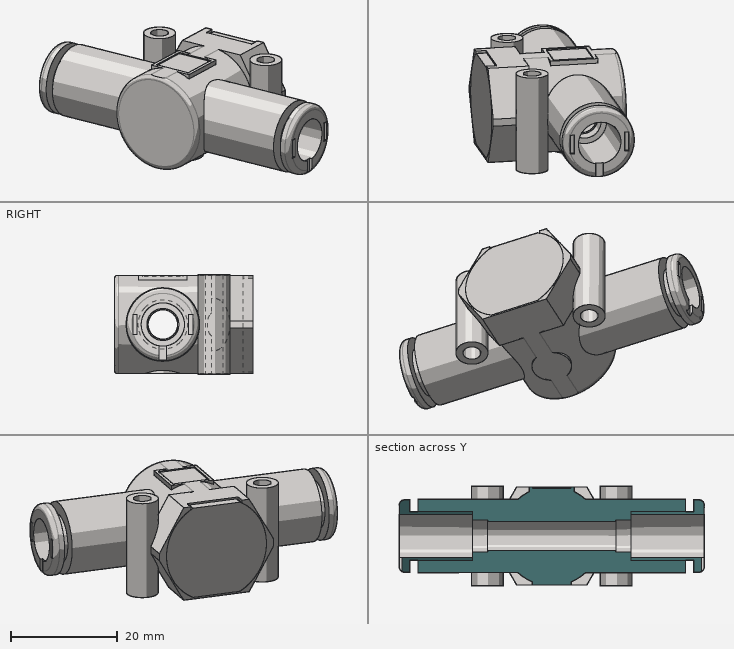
import cadquery as cq
import math


overall_length = 57.2
sleeve_diameter = 13.8
sleeve_end_x = 25.1
tube_stop_x = 14.9
stop_bore_diameter = 6.0
stop_bore_depth = 2.85
through_bore_diameter = 5.5

barrel_diameter = 18.7
barrel_front_y = -9.1
barrel_fillet = 0.8
flat_z = 9.2

block_front_y = 9.15
block_back_y = 16.95
block_top_half_width = 6.6
block_half_width = 11.5
flank_angle = 60.0

window_width = 10.25
window_length = 1.95

insert_flat_z = 8.85
insert_flat_width = 9.5

lug_x = 12.05
lug_y = 9.6
lug_diameter = 6.0
lug_hole_diameter = 3.3
lug_height = 18.7

tag_width = 8.5
tag_length = 9.05
tag_recess_width = 7.2
tag_recess_length = 7.55
tag_recess_depth = 0.25
pad_diameter = 7.45

collar_diameter = 13.6
collar_flange_length = 2.0
collar_fillet = 1.0
neck_diameter = 9.25
collar_bore_diameter = 8.1
notch_width = 1.45
notch_depth = 0.5
pocket_length = 3.65
pocket_inner_radius = 4.8
pocket_outer_radius = 5.6
pocket_depth = 0.5


def cylinder_x(diameter, x_start, x_end):
    return cq.Workplane("YZ", origin=(x_start, 0, 0)).circle(diameter / 2).extrude(x_end - x_start)


def cylinder_y(diameter, y_start, y_end):
    return cq.Workplane("XZ", origin=(0, y_start, 0)).circle(diameter / 2).extrude(y_start - y_end)


def box_between(x_range, y_range, z_range):
    sides = [end - start for start, end in (x_range, y_range, z_range)]
    return cq.Workplane().box(*sides, centered=False).translate((x_range[0], y_range[0], z_range[0]))


def flatten(round_body, half_height):
    """Keep only the part of a body between -half_height and +half_height."""
    size = 2 * overall_length
    return round_body.intersect(cq.Workplane().box(size, size, 2 * half_height))


def make_barrel():
    barrel = cylinder_y(barrel_diameter, barrel_front_y, block_front_y)
    barrel = barrel.faces("<Y").edges().fillet(barrel_fillet)
    return flatten(barrel, flat_z)


def make_rear_block():
    corner_drop = (block_half_width - block_top_half_width) * math.tan(math.radians(flank_angle))
    corner_z = flat_z - corner_drop
    right_side = [
        (block_top_half_width, -flat_z),
        (block_half_width, -corner_z),
        (block_half_width, corner_z),
        (block_top_half_width, flat_z),
    ]
    left_side = [(-x, z) for x, z in reversed(right_side)]
    outline = cq.Workplane("XZ", origin=(0, block_front_y, 0)).polyline(right_side + left_side).close()
    return outline.extrude(block_front_y - block_back_y)


def lug_cylinders(diameter):
    """A pair of upright full-height cylinders, one at each lug position."""
    base = cq.Workplane("XY", origin=(0, 0, -lug_height / 2))
    return base.pushPoints([(-lug_x, lug_y), (lug_x, lug_y)]).circle(diameter / 2).extrude(lug_height)


def make_tag():
    return cq.Workplane().rect(tag_width, tag_length).extrude(flat_z)


def make_tag_recess():
    recess = cq.Workplane("XY", origin=(0, 0, flat_z - tag_recess_depth))
    return recess.rect(tag_recess_width, tag_recess_length).extrude(tag_recess_depth)


def make_pad():
    return cq.Workplane().circle(pad_diameter / 2).extrude(-flat_z)


def make_run_bore():
    """The through bore, with a step and a collar socket at each end."""
    bore = cylinder_x(through_bore_diameter, -sleeve_end_x, sleeve_end_x)
    step_x = tube_stop_x - stop_bore_depth
    for side in (-1, 1):
        bore = bore.union(cylinder_x(stop_bore_diameter, side * step_x, side * tube_stop_x))
        bore = bore.union(cylinder_x(neck_diameter, side * tube_stop_x, side * sleeve_end_x))
    return bore


def make_window():
    return box_between(
        (-window_width / 2, window_width / 2),
        (block_back_y - window_length, block_back_y),
        (0, flat_z),
    )


def make_insert():
    """A round disc with a flat on the top and one on the bottom."""
    insert_diameter = math.hypot(2 * insert_flat_z, insert_flat_width)
    disc = cylinder_y(insert_diameter, block_back_y - window_length, block_back_y)
    return flatten(disc, insert_flat_z)


def make_housing(insert):
    housing = make_barrel().union(cylinder_x(sleeve_diameter, -sleeve_end_x, sleeve_end_x))
    housing = housing.union(make_rear_block())
    housing = housing.union(lug_cylinders(lug_diameter))
    housing = housing.union(make_tag())
    housing = housing.union(make_pad())
    housing = housing.cut(make_tag_recess())
    housing = housing.cut(lug_cylinders(lug_hole_diameter))
    housing = housing.cut(make_run_bore())
    return housing.cut(make_window()).cut(insert).clean()


def make_collar():
    """The collar at the -X end; its neck reaches into the sleeve as far as the tube stop."""
    end_x = -overall_length / 2
    flange = cylinder_x(collar_diameter, end_x, end_x + collar_flange_length)
    flange = flange.faces("<X").edges().fillet(collar_fillet)
    collar = flange.union(cylinder_x(neck_diameter, end_x + collar_flange_length, -tube_stop_x))
    collar = collar.cut(cylinder_x(collar_bore_diameter, end_x, -tube_stop_x))
    notch = box_between(
        (end_x, end_x + notch_depth),
        (-notch_width / 2, notch_width / 2),
        (-collar_diameter / 2, 0),
    )
    collar = collar.cut(notch)
    for side in (-1, 1):
        pocket = box_between(
            (end_x, end_x + pocket_depth),
            sorted((side * pocket_inner_radius, side * pocket_outer_radius)),
            (-pocket_length / 2, pocket_length / 2),
        )
        collar = collar.cut(pocket)
    return collar


insert = make_insert()
housing = make_housing(insert)
left_collar = make_collar()
collars = [left_collar, left_collar.mirror("YZ")]

result = cq.Compound.makeCompound([housing.val(), insert.val(), *[collar.val() for collar in collars]])